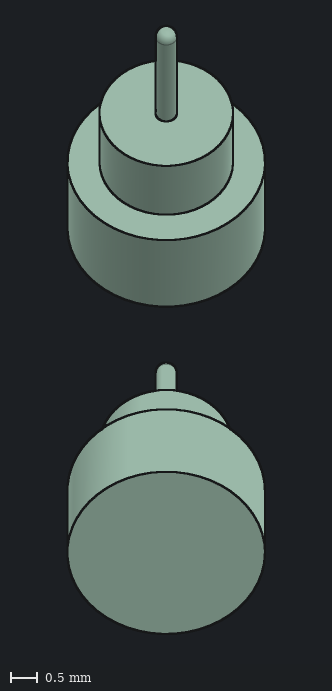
import cadquery as cq

total_height = 6.1
base_height = 2.05
neck_height = 1.5

base_diameter = 3.7
neck_diameter = 2.5
pin_diameter = 0.4

pin_radius = pin_diameter / 2
neck_top = base_height + neck_height
pin_straight_height = total_height - neck_top - pin_radius


def cylinder(diameter, height, bottom):
    """Upright cylinder on the Z axis, starting at the given height."""
    return cq.Workplane("XY").workplane(offset=bottom).circle(diameter / 2).extrude(height)


base = cylinder(base_diameter, base_height, 0)
neck = cylinder(neck_diameter, neck_height, base_height)

dome_center_height = neck_top + pin_straight_height
pin = cylinder(pin_diameter, pin_straight_height, neck_top)
tip = cq.Workplane("XY").sphere(pin_radius).translate((0, 0, dome_center_height))

result = base.union(neck).union(pin).union(tip)